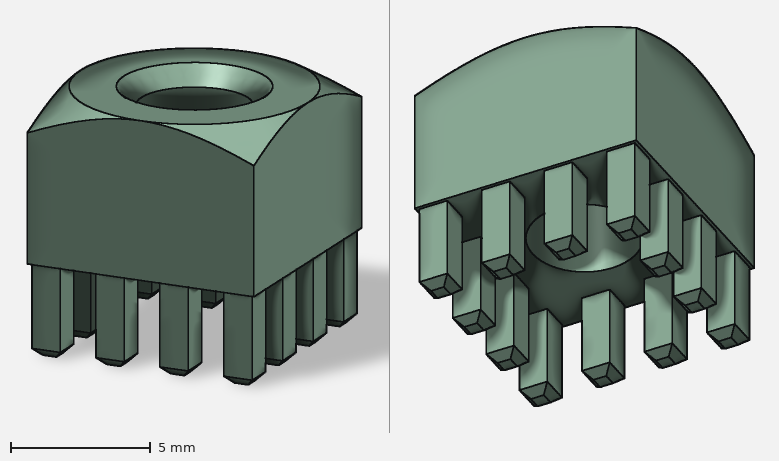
import cadquery as cq
import math

total_height = 9.5
body_width = 9.0
body_height = 6.0
crown_angle = 30.0

bore_diameter = 4.2
countersink_diameter = 5.605

pin_width = 1.13
pin_pitch = 2.54
pins_per_side = 4
pin_tip_chamfer = 0.3

pin_length = total_height - body_height
bore_radius = bore_diameter / 2
countersink_radius = countersink_diameter / 2
countersink_depth = countersink_radius - bore_radius


def make_body():
    """Square block whose corners are cut back by a cone touching the top edges."""
    block = (
        cq.Workplane("XY")
        .workplane(offset=pin_length)
        .rect(body_width, body_width)
        .extrude(body_height)
    )
    flat_radius = body_width / 2
    outer_radius = body_width
    crown_drop = (outer_radius - flat_radius) * math.tan(math.radians(crown_angle))
    envelope = (
        cq.Workplane("XZ")
        .moveTo(0, 0)
        .lineTo(outer_radius, 0)
        .lineTo(outer_radius, total_height - crown_drop)
        .lineTo(flat_radius, total_height)
        .lineTo(0, total_height)
        .close()
        .revolve(360, (0, 0), (0, 1))
    )
    return block.intersect(envelope)


def make_bore():
    """Through bore with a countersink at the top face."""
    return (
        cq.Workplane("XZ")
        .moveTo(0, pin_length)
        .lineTo(bore_radius, pin_length)
        .lineTo(bore_radius, total_height - countersink_depth)
        .lineTo(countersink_radius, total_height)
        .lineTo(0, total_height)
        .close()
        .revolve(360, (0, 0), (0, 1))
    )


def perimeter_pin_centres():
    """Centres of the square pin grid, keeping only its outer ring."""
    last = pins_per_side - 1
    middle = last / 2
    return [
        ((column - middle) * pin_pitch, (row - middle) * pin_pitch)
        for column in range(pins_per_side)
        for row in range(pins_per_side)
        if column in (0, last) or row in (0, last)
    ]


def make_pins():
    """Square pins with chamfered tips, standing on Z = 0."""
    return (
        cq.Workplane("XY")
        .pushPoints(perimeter_pin_centres())
        .rect(pin_width, pin_width)
        .extrude(pin_length)
        .faces("<Z")
        .chamfer(pin_tip_chamfer)
    )


result = make_body().cut(make_bore()).union(make_pins())